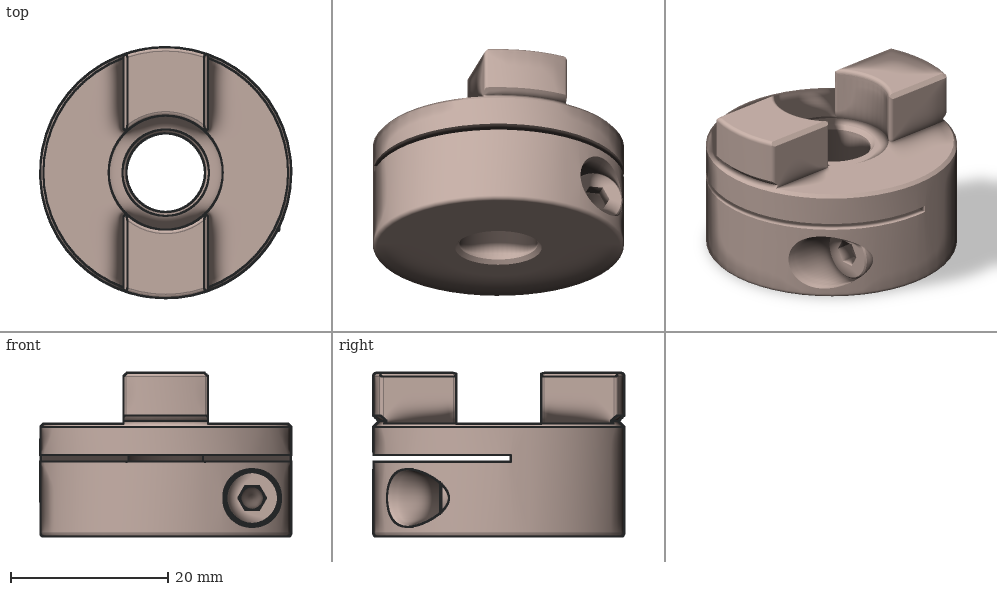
import cadquery as cq
import math

hub_radius = 16.0
hub_height = 14.4
bottom_fillet = 0.48
bore_radius = 5.0
bore_chamfer = 0.5
recess_radius = 7.25
recess_depth = 0.25

total_height = 20.9
tooth_width = 10.8
tooth_edge = 0.5
tooth_inner_corner_fillet = 0.4

groove_depth = 0.75
groove_center_z = 14.72

slot_bottom = 9.57
slot_top = 10.4
slot_end_y = 1.5

screw_x = 11.0
screw_z = 4.93
head_radius = 3.5
head_front_y = -7.45
head_length = 4.0
head_edge = 0.2
counterbore_radius = 3.68
shank_radius = 2.0
shank_length = 10.0
hex_flats = 3.0
hex_depth = 2.0
hex_corner_diameter = hex_flats / math.cos(math.pi / 6)
drill_tip_depth = hex_corner_diameter / 2 * math.tan(math.pi / 6)
seat_y = head_front_y + head_length


def rod_along_y(radius, start_y, length):
    """Round rod on the screw axis, running from start_y toward +Y."""
    return cq.Workplane(
        cq.Solid.makeCylinder(radius, length, cq.Vector(screw_x, start_y, screw_z), cq.Vector(0, 1, 0))
    )


def make_teeth():
    """Pair of teeth: straight top edges chamfered, curved top edges and upright corners rounded."""
    height = total_height - hub_height
    ring = cq.Workplane("XY").workplane(offset=hub_height).circle(hub_radius).circle(recess_radius).extrude(height)
    bar = (
        cq.Workplane("XY").workplane(offset=hub_height)
        .rect(tooth_width, 3 * hub_radius).extrude(height)
    )
    teeth = ring.intersect(bar)
    inner_zone = cq.selectors.BoxSelector(
        (-tooth_width, -recess_radius, hub_height), (tooth_width, recess_radius, total_height)
    )
    teeth = teeth.edges("|Z").edges(inner_zone).fillet(tooth_inner_corner_fillet)
    outer_corners = cq.selectors.StringSyntaxSelector("|Z") - inner_zone
    teeth = teeth.edges(outer_corners).fillet(tooth_edge)
    rounded_ring = ring.faces(">Z").edges().fillet(tooth_edge)
    chamfered_bar = bar.edges(">Z and |Y").chamfer(tooth_edge)
    return teeth.intersect(rounded_ring).intersect(chamfered_bar)


def make_groove():
    """Triangular ring that cuts the V groove."""
    return (
        cq.Workplane("XZ")
        .moveTo(hub_radius - groove_depth, groove_center_z)
        .lineTo(hub_radius + groove_depth, groove_center_z + 2 * groove_depth)
        .lineTo(hub_radius + groove_depth, groove_center_z - 2 * groove_depth)
        .close()
        .revolve(360, (0, 0, 0), (0, 1, 0))
    )


def make_hub():
    """Clamping hub with teeth, bore, relief slot and screw hole."""
    hub = cq.Workplane("XY").circle(hub_radius).extrude(hub_height)
    floor_z = hub_height - recess_depth
    recess = cq.Workplane("XY").workplane(offset=floor_z).circle(recess_radius).extrude(recess_depth)
    bore = cq.Workplane("XY").circle(bore_radius).extrude(hub_height)
    hub = hub.cut(recess).cut(bore)
    hub = hub.edges(cq.selectors.RadiusNthSelector(0)).chamfer(bore_chamfer)
    hub = hub.faces("<Z").edges(cq.selectors.RadiusNthSelector(-1)).fillet(bottom_fillet)
    hub = hub.union(make_teeth()).cut(make_groove())

    slot = cq.Workplane("XY").box(
        2 * hub_radius, hub_radius + slot_end_y, slot_top - slot_bottom, centered=(True, False, False)
    ).translate((0, -hub_radius, slot_bottom))
    counterbore = rod_along_y(counterbore_radius, -hub_radius, hub_radius + seat_y)
    shank_hole = rod_along_y(shank_radius, seat_y, shank_length)
    return hub.cut(slot).cut(counterbore).cut(shank_hole)


def make_screw():
    """Socket head clamp screw with a conical bottom to its hex socket."""
    head = rod_along_y(head_radius, head_front_y, head_length).faces("<Y").edges().chamfer(head_edge)
    shank = rod_along_y(shank_radius, seat_y, shank_length)
    socket = (
        cq.Workplane("XZ", origin=(screw_x, head_front_y, screw_z))
        .polygon(6, hex_corner_diameter).extrude(-hex_depth)
    )
    drill_tip = cq.Workplane(cq.Solid.makeCone(
        hex_flats / 2, 0, drill_tip_depth,
        cq.Vector(screw_x, head_front_y + hex_depth, screw_z), cq.Vector(0, 1, 0),
    ))
    return head.union(shank).cut(socket).cut(drill_tip)


hub = make_hub()
screw = make_screw()
result = cq.Compound.makeCompound([hub.val(), screw.val()])